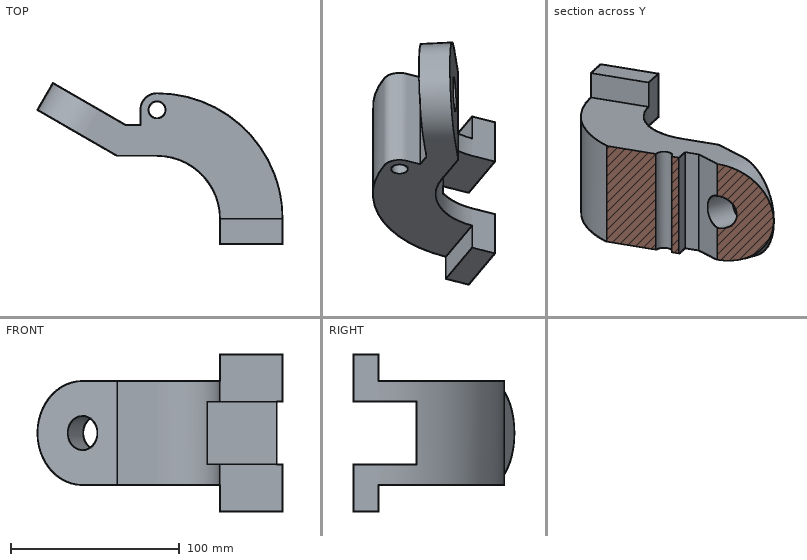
import cadquery as cq
import math

inner_radius = 37.3
outer_radius = 74.5
arm_height = 61.9

foot_length = 15.0
foot_span = 93.1
slot_height = 37.3
slot_depth = 37.3

eye_radius = 9.9
eye_hole_diameter = 9.9

lug_thickness = 18.5
lug_angle = 30.0
lug_length = 54.6
lug_bend_x = -23.7
lug_hole_diameter = 20.2

arm_width = outer_radius - inner_radius
eye_y = outer_radius - eye_radius
lug_end_radius = arm_height / 2
lug_cos = math.cos(math.radians(lug_angle))
lug_sin = math.sin(math.radians(lug_angle))


def lug_point(along, across):
    """Plan position on the lug, measured from its inner bend."""
    return (
        lug_bend_x - along * lug_cos + across * lug_sin,
        inner_radius + along * lug_sin + across * lug_cos,
    )


def make_arm():
    """Extruded plan outline of the lug, the eye and the quarter-ring arm."""
    diagonal = math.sqrt(0.5)
    outer_bend_x = lug_bend_x + lug_thickness * math.tan(math.radians(lug_angle / 2))
    lug_outer_y = inner_radius + lug_thickness
    return (
        cq.Workplane("XY")
        .workplane(offset=-arm_height / 2)
        .moveTo(inner_radius, 0)
        .threePointArc((inner_radius * diagonal, inner_radius * diagonal), (0, inner_radius))
        .lineTo(lug_bend_x, inner_radius)
        .lineTo(*lug_point(lug_length, 0))
        .lineTo(*lug_point(lug_length, lug_thickness))
        .lineTo(outer_bend_x, lug_outer_y)
        .lineTo(-eye_radius, lug_outer_y)
        .lineTo(-eye_radius, eye_y)
        .threePointArc(
            (-eye_radius * diagonal, eye_y + eye_radius * diagonal), (0, outer_radius)
        )
        .threePointArc((outer_radius * diagonal, outer_radius * diagonal), (outer_radius, 0))
        .close()
        .extrude(arm_height)
    )


def make_feet():
    """Block across the arm end; the slot later divides it into two feet."""
    return cq.Workplane("XY").box(arm_width, foot_length, foot_span).translate(
        ((inner_radius + outer_radius) / 2, -foot_length / 2, 0)
    )


def make_slot():
    """Opening between the feet, through the full width of the arm."""
    return cq.Workplane("XY").box(outer_radius, slot_depth, slot_height).translate(
        (outer_radius / 2, slot_depth / 2 - foot_length, 0)
    )


def make_lug_cutters():
    """Material outside the rounded lug end, and the hole at its centre."""
    x, y = lug_point(lug_length - lug_end_radius, 0)
    face = cq.Plane(origin=(x, y, 0), xDir=(-lug_cos, lug_sin, 0), normal=(lug_sin, lug_cos, 0))
    corners = (
        cq.Workplane(face)
        .center(lug_end_radius / 2, 0)
        .rect(lug_end_radius, arm_height)
        .extrude(lug_thickness)
        .cut(cq.Workplane(face).circle(lug_end_radius).extrude(lug_thickness))
    )
    hole = cq.Workplane(face).circle(lug_hole_diameter / 2).extrude(lug_thickness)
    return corners.union(hole)


def make_eye_hole():
    """Pin hole through the full arm height."""
    return (
        cq.Workplane("XY")
        .center(0, eye_y)
        .circle(eye_hole_diameter / 2)
        .extrude(arm_height / 2, both=True)
    )


result = (
    make_arm()
    .union(make_feet())
    .cut(make_slot())
    .cut(make_lug_cutters())
    .cut(make_eye_hole())
)